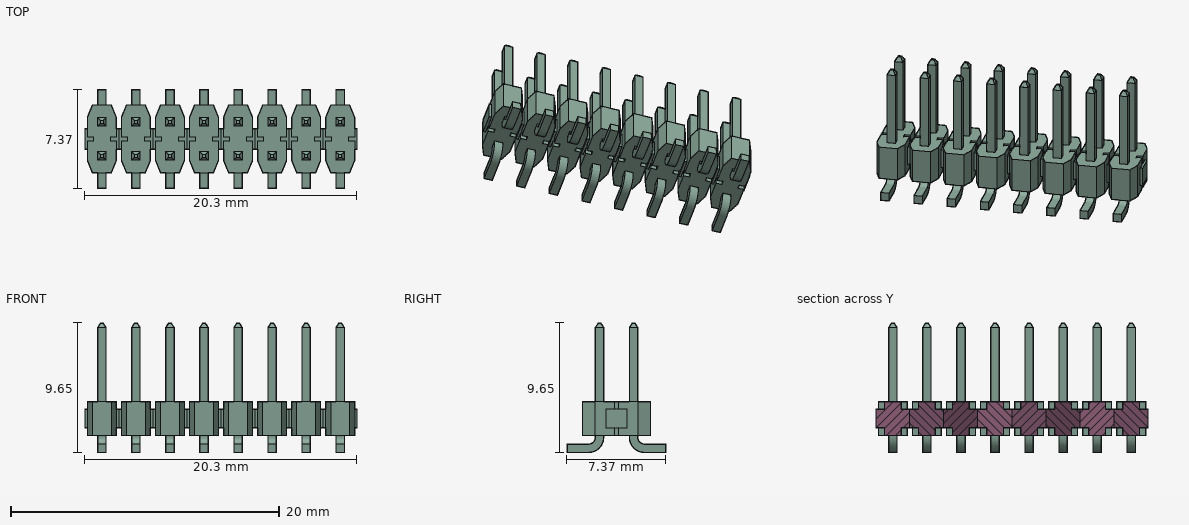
import cadquery as cq
import math


module_count = 8
pitch = 2.54
overall_depth = 7.37
overall_height = 9.65

block_width = 2.17
block_depth = 2 * pitch
block_height = pitch
block_bottom = pitch / 2
block_middle = block_bottom + block_height / 2
end_width = 1.41
side_depth = 3.23

tab_depth = 1.55
tab_height = 1.41
notch_width = 0.30
notch_depth = 0.45
notch_height = (block_height - tab_height) / 2

pin_size = 0.64
bend_inner_radius = 0.50
bend_outer_radius = bend_inner_radius + pin_size
tip_height = 0.33
tip_size = 0.22


def make_block():
    """Eight-sided block, narrowed toward both Y ends."""
    x_side = block_width / 2
    x_end = end_width / 2
    y_side = side_depth / 2
    y_end = block_depth / 2
    outline = [
        (x_end, y_end),
        (x_side, y_side),
        (x_side, -y_side),
        (x_end, -y_end),
        (-x_end, -y_end),
        (-x_side, -y_side),
        (-x_side, y_side),
        (-x_end, y_end),
    ]
    base = cq.Workplane("XY", origin=(0, 0, block_bottom))
    return base.polyline(outline).close().extrude(block_height)


def make_notches():
    """Vertical notches in both X sides, stopping at the tab from above and below."""
    notch_x = block_width / 2 - notch_depth / 2
    notch_offset_z = (block_height - notch_height) / 2
    notches = cq.Workplane("XY")
    for x in (-notch_x, notch_x):
        for z in (block_middle - notch_offset_z, block_middle + notch_offset_z):
            notch = cq.Workplane("XY").box(notch_depth, notch_width, notch_height)
            notches = notches.add(notch.translate((x, 0, z)))
    return notches.combine()


def make_tab():
    """Bar through the block that spans one pitch and meets the next modules."""
    return cq.Workplane("XY").box(pitch, tab_depth, tab_height).translate((0, 0, block_middle))


def make_pin():
    """Square pin of the +Y row: upright post, bent outward into a flat foot."""
    inner_y = (pitch - pin_size) / 2
    outer_y = inner_y + pin_size
    foot_end_y = overall_depth / 2
    bend_y = outer_y + bend_inner_radius
    bend_z = bend_outer_radius
    shoulder_z = overall_height - tip_height
    diagonal = math.sqrt(0.5)
    outer_mid = (bend_y - bend_outer_radius * diagonal, bend_z - bend_outer_radius * diagonal)
    inner_mid = (bend_y - bend_inner_radius * diagonal, bend_z - bend_inner_radius * diagonal)

    bent_bar = (
        cq.Workplane("YZ")
        .moveTo(inner_y, shoulder_z)
        .lineTo(inner_y, bend_z)
        .threePointArc(outer_mid, (bend_y, 0))
        .lineTo(foot_end_y, 0)
        .lineTo(foot_end_y, pin_size)
        .lineTo(bend_y, pin_size)
        .threePointArc(inner_mid, (outer_y, bend_z))
        .lineTo(outer_y, shoulder_z)
        .close()
        .extrude(pin_size / 2, both=True)
    )
    tip = (
        cq.Workplane("XY", origin=(0, pitch / 2, shoulder_z))
        .rect(pin_size, pin_size)
        .workplane(offset=tip_height)
        .rect(tip_size, tip_size)
        .loft(ruled=True)
    )
    return bent_bar.union(tip)


def make_module(x):
    """One module centred at the given X."""
    pin = make_pin()
    opposite_pin = pin.mirror("XZ")
    insulator = make_block().cut(make_notches()).union(make_tab())
    return insulator.union(pin).union(opposite_pin).translate((x, 0, 0))


first_x = -(module_count - 1) * pitch / 2
modules = [make_module(first_x + i * pitch) for i in range(module_count)]

result = cq.Compound.makeCompound([module.val() for module in modules])